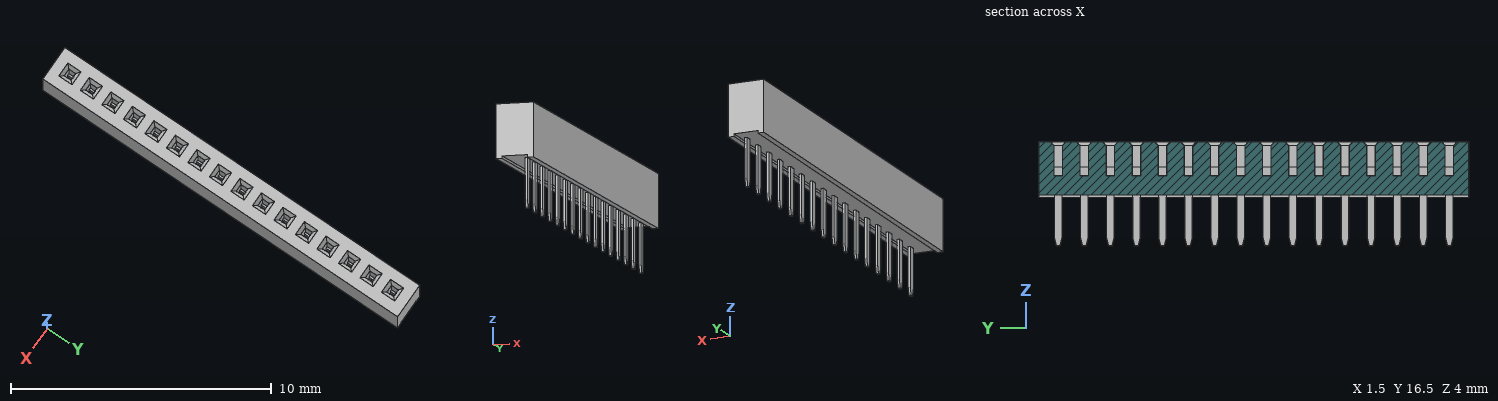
import cadquery as cq

contact_count = 16
body_width = 1.5
body_length = 16.5
total_height = 4.0
pitch = body_length / (contact_count + 0.5)

housing_height = 2.15
rail_height = 0.1
rail_width = 0.25
floor_z = rail_height - housing_height

mouth_size = 0.61
funnel_depth = 0.15
throat_size = mouth_size - 2 * funnel_depth
throat_depth = 0.82
slit_width = 0.15
slit_depth = 0.33

pin_thickness = 0.1
pin_width = 0.3
pin_tip_width = 0.15
pin_taper_length = 0.3
pin_offset = 0.28

row_positions = [(i - (contact_count - 1) / 2) * pitch for i in range(contact_count)]


def make_housing():
    """Plain block with a full-length channel that leaves the two rails."""
    block = cq.Workplane("XY").rect(body_width, body_length).extrude(-housing_height)
    channel = (
        cq.Workplane("XY")
        .workplane(offset=-housing_height)
        .rect(body_width - 2 * rail_width, body_length)
        .extrude(rail_height)
    )
    return block.cut(channel)


def make_socket():
    """Funnel, square throat and a narrow contact slit in the throat floor."""
    throat_floor_z = -funnel_depth - throat_depth
    funnel = (
        cq.Workplane("XY")
        .rect(mouth_size, mouth_size)
        .workplane(offset=-funnel_depth)
        .rect(throat_size, throat_size)
        .loft(ruled=True)
    )
    throat = (
        cq.Workplane("XY")
        .workplane(offset=-funnel_depth)
        .rect(throat_size, throat_size)
        .extrude(-throat_depth)
    )
    slit = (
        cq.Workplane("XY")
        .workplane(offset=throat_floor_z)
        .rect(slit_width, throat_size)
        .extrude(-slit_depth)
    )
    return funnel.union(throat).union(slit)


def make_pin():
    """Flat pin with a tapered tip, hanging from the underside of the housing."""
    tip_z = -total_height
    taper_top_z = tip_z + pin_taper_length
    outline = [
        (-pin_width / 2, floor_z),
        (-pin_width / 2, taper_top_z),
        (-pin_tip_width / 2, tip_z),
        (pin_tip_width / 2, tip_z),
        (pin_width / 2, taper_top_z),
        (pin_width / 2, floor_z),
    ]
    pin = cq.Workplane("YZ").polyline(outline).close().extrude(pin_thickness / 2, both=True)
    return pin.translate((pin_offset, 0, 0))


socket = make_socket()
pin = make_pin()
result = make_housing()
for y in row_positions:
    result = result.cut(socket.translate((0, y, 0)))
    result = result.union(pin.translate((0, y, 0)))